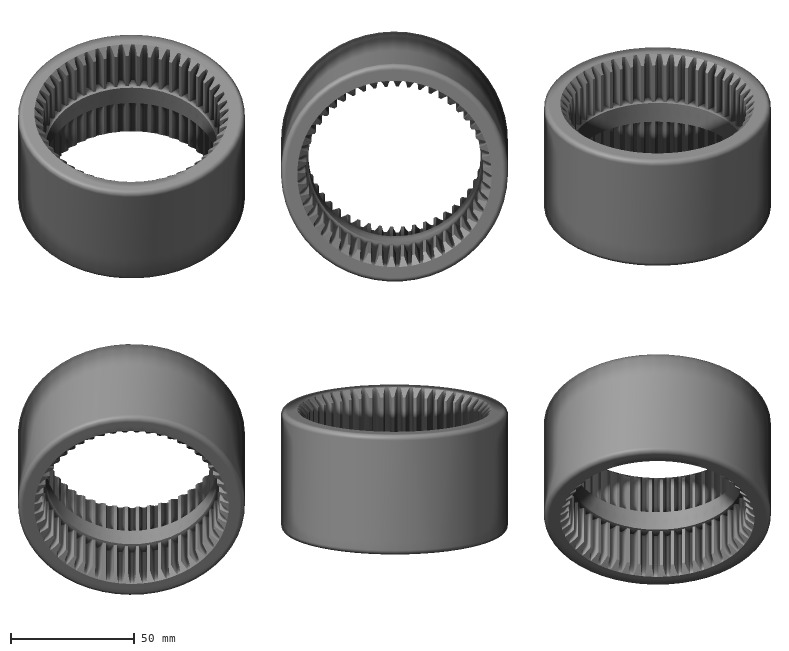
import cadquery as cq
import math

outer_diameter = 92.0
width = 50.0
rim_fillet = 2.0

tooth_count = 50
tip_diameter = 71.9
pressure_angle = math.radians(18)
space_widening = 0.34
module = tip_diameter / (tooth_count - 2)
pitch_radius = module * tooth_count / 2
base_radius = pitch_radius * math.cos(pressure_angle)
tip_radius = tip_diameter / 2
root_clearance = 0.25 * module
root_radius = pitch_radius + module + root_clearance

bore_diameter = 70.0
web_width = 8.8
toothed_depth = (width - web_width) / 2

lead_in_angle = math.radians(45)

cut_margin = 0.9


def polar(radius, angle):
    return (radius * math.cos(angle), radius * math.sin(angle))


def involute(angle):
    return math.tan(angle) - angle


def space_half_angle(radius):
    """Half of the angle taken up by a tooth space at the given radius."""
    flank_angle = math.acos(base_radius / radius)
    pitch_half_angle = math.pi / (2 * tooth_count) + space_widening / (2 * pitch_radius)
    return pitch_half_angle + involute(pressure_angle) - involute(flank_angle)


def sleeve():
    """Ring centred on the origin, with rounded outer rims and a plain bore."""
    body = cq.Workplane("XY").cylinder(width, outer_diameter / 2)
    body = body.edges().fillet(rim_fillet)
    bore = cq.Workplane("XY").cylinder(width + 2 * cut_margin, bore_diameter / 2)
    return body.cut(bore)


def toothed_bore_outline():
    """Closed outline of the bore: arcs over tooth tips and roots, joined by flanks."""
    pitch_angle = 2 * math.pi / tooth_count
    tip_half = space_half_angle(tip_radius)
    middle_half = space_half_angle(pitch_radius)
    root_half = space_half_angle(root_radius)
    outline = cq.Workplane("XY").moveTo(*polar(tip_radius, pitch_angle / 2 - tip_half))
    for index in range(tooth_count):
        space = (index + 0.5) * pitch_angle
        next_tooth = space + pitch_angle / 2
        next_space = space + pitch_angle
        outline = outline.threePointArc(
            polar(pitch_radius, space - middle_half), polar(root_radius, space - root_half)
        )
        outline = outline.threePointArc(
            polar(root_radius, space), polar(root_radius, space + root_half)
        )
        outline = outline.threePointArc(
            polar(pitch_radius, space + middle_half), polar(tip_radius, space + tip_half)
        )
        outline = outline.threePointArc(
            polar(tip_radius, next_tooth), polar(tip_radius, next_space - tip_half)
        )
    return outline.close()


def upper_bore_cutter():
    """Toothed bore with its lead-in cone, at the +Z end of the sleeve."""
    teeth = toothed_bore_outline().extrude(toothed_depth).translate((0, 0, web_width / 2))
    inner_radius = tip_radius - cut_margin
    cone_depth = (root_radius - inner_radius) * math.tan(lead_in_angle)
    cone = (
        cq.Workplane("XZ")
        .moveTo(0, width / 2)
        .lineTo(root_radius, width / 2)
        .lineTo(inner_radius, width / 2 - cone_depth)
        .lineTo(0, width / 2 - cone_depth)
        .close()
        .revolve(360, (0, 0, 0), (0, 1, 0))
    )
    return teeth.union(cone)


upper_cutter = upper_bore_cutter()
lower_cutter = upper_cutter.mirror("XY")
result = sleeve().cut(upper_cutter).cut(lower_cutter)